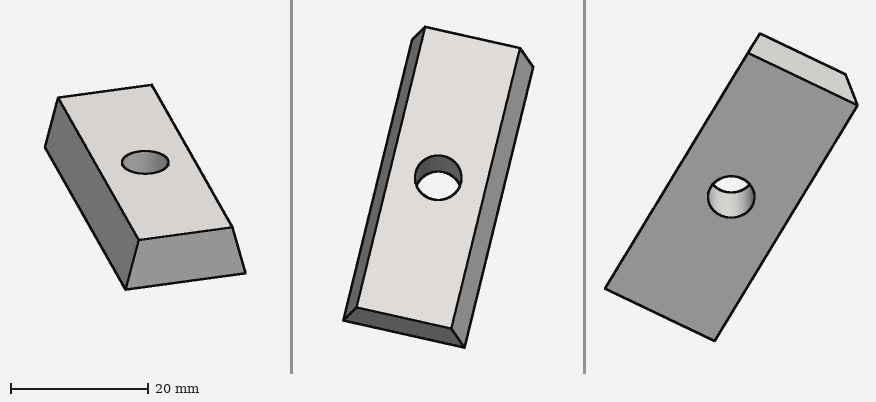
import cadquery as cq

LENGTH = 44.0
BASE_WIDTH = 18.2
TOP_WIDTH = 14.2
HEIGHT = 8.02
HOLE_DIAMETER = 6.78


def make_dovetail_bar():
    """Bar with a symmetric trapezoid section, centred on X and Y, bottom at Z = 0."""
    section = [
        (-BASE_WIDTH / 2, 0),
        (BASE_WIDTH / 2, 0),
        (TOP_WIDTH / 2, HEIGHT),
        (-TOP_WIDTH / 2, HEIGHT),
    ]
    return cq.Workplane("YZ").polyline(section).close().extrude(LENGTH / 2, both=True)


def make_hole_cutter():
    """Cylinder for the central through hole."""
    return cq.Workplane("XY").circle(HOLE_DIAMETER / 2).extrude(HEIGHT)


result = make_dovetail_bar().cut(make_hole_cutter())